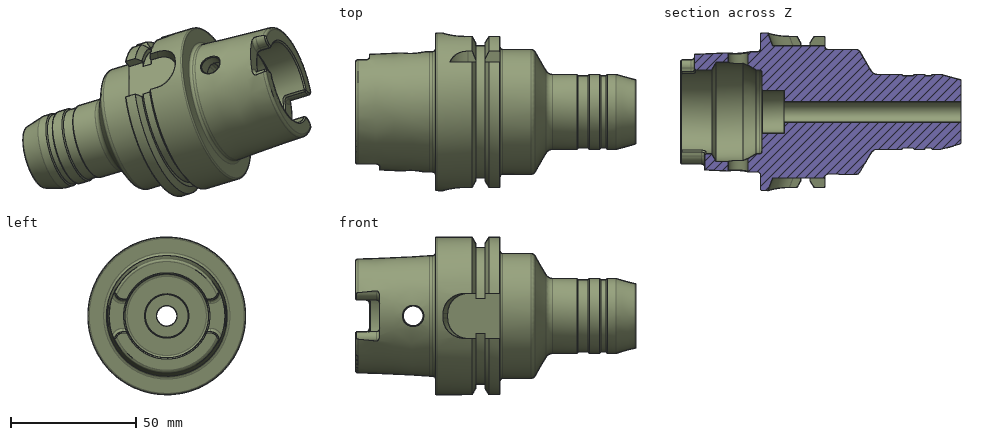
import cadquery as cq
import math


total_length = 112.0
through_hole_radius = 4.0

shank_front_radius = 22.7
shank_back_radius = 24.1
shank_rim_fillet = 1.1
taper_end = 29.7
shank_root_fillet = 1.1

flange_start = 31.9
flange_end = 57.8
flange_radius = 31.5
flange_front_fillet = 0.6
flange_back_chamfer = 0.3
groove_start = 48.0
groove_end = 51.6
groove_floor_radius = 27.3
groove_mouth_radius = 28.9
groove_front_bevel = 1.5
groove_back_bevel = 1.7

body_radius = 25.0
body_end = 71.1
body_root_fillet = 0.9
shoulder_angle = 60.0
shoulder_outer_fillet = 2.0
shoulder_inner_fillet = 2.9

nose_radius = 15.0
nose_groove_spans = [(88.8, 92.8), (97.9, 100.0)]
nose_groove_depth = 0.6
nose_groove_chamfer = 0.5
tip_taper_start = 103.9
tip_radius = 12.8
tip_fillet = 0.7

bore_radius = 16.7
bore_rim_chamfer = 0.6
undercut_start = 12.5
undercut_depth = 3.0
undercut_front_angle = 60.0
undercut_end = 25.0
undercut_back_angle = 30.0
bore_floor = 32.5
bore_floor_fillet = 0.9
counterbore_radius = 8.5
counterbore_depth = 9.0
counterbore_chamfer = 0.3

drive_slot_half_width = 6.3
drive_slot_depths = {-1: 9.7, 1: 5.6}
drive_slot_flare_radius = 3.4
drive_slot_flare_height = 20.8
drive_slot_end_fillet = 1.3
drive_slot_mouth_chamfer = 0.6

wall_hole_radius = 3.9
wall_hole_position = 23.1
wall_hole_chamfer = 0.3

key_slot_half_width = 9.0
key_slot_corner_radius = 8.1
key_slot_floor = 26.4
key_slot_floor_start = 36.8
key_slot_rim_start = 35.0

notch_floor = 19.9
notch_wall = 20.0
notch_radius = 8.3
notch_arc_end = 45.0


def edges_at(solid, x, radius):
    """Circular edges centred on the X axis at station x with the given radius."""
    tolerance = 0.01
    found = [
        edge
        for edge in solid.edges("%CIRCLE").vals()
        if abs(edge.Center().x - x) < tolerance and abs(edge.radius() - radius) < tolerance
    ]
    return solid.newObject(found)


def turned_body():
    shoulder_run = (body_radius - nose_radius) / math.tan(math.radians(shoulder_angle))
    profile = [
        (0, 0),
        (0, shank_front_radius),
        (taper_end, shank_back_radius),
        (flange_start, shank_back_radius),
        (flange_start, flange_radius),
        (groove_start - groove_front_bevel, flange_radius),
        (groove_start, groove_mouth_radius),
        (groove_start, groove_floor_radius),
        (groove_end, groove_floor_radius),
        (groove_end, groove_mouth_radius),
        (groove_end + groove_back_bevel, flange_radius),
        (flange_end, flange_radius),
        (flange_end, body_radius),
        (body_end, body_radius),
        (body_end + shoulder_run, nose_radius),
    ]
    for start, end in nose_groove_spans:
        profile += [
            (start - nose_groove_chamfer, nose_radius),
            (start, nose_radius - nose_groove_depth),
            (end, nose_radius - nose_groove_depth),
            (end + nose_groove_chamfer, nose_radius),
        ]
    profile += [
        (tip_taper_start, nose_radius),
        (total_length, tip_radius),
        (total_length, 0),
    ]
    body = cq.Workplane("XY").polyline(profile).close().revolve(360, (0, 0, 0), (1, 0, 0))

    fillets = [
        (0, shank_front_radius, shank_rim_fillet),
        (flange_start, shank_back_radius, shank_root_fillet),
        (flange_start, flange_radius, flange_front_fillet),
        (flange_end, body_radius, body_root_fillet),
        (body_end, body_radius, shoulder_outer_fillet),
        (body_end + shoulder_run, nose_radius, shoulder_inner_fillet),
        (total_length, tip_radius, tip_fillet),
    ]
    for x, radius, fillet in fillets:
        body = edges_at(body, x, radius).fillet(fillet)
    return edges_at(body, flange_end, flange_radius).chamfer(flange_back_chamfer)


def bore_cutter():
    undercut_radius = bore_radius + undercut_depth
    front_run = undercut_depth / math.tan(math.radians(undercut_front_angle))
    back_run = undercut_depth / math.tan(math.radians(undercut_back_angle))
    counterbore_floor = bore_floor + counterbore_depth
    profile = [
        (0, 0),
        (0, bore_radius),
        (undercut_start, bore_radius),
        (undercut_start + front_run, undercut_radius),
        (undercut_end, undercut_radius),
        (undercut_end + back_run, bore_radius),
        (bore_floor, bore_radius),
        (bore_floor, counterbore_radius + counterbore_chamfer),
        (bore_floor + counterbore_chamfer, counterbore_radius),
        (counterbore_floor, counterbore_radius),
        (counterbore_floor, through_hole_radius),
        (total_length, through_hole_radius),
        (total_length, 0),
    ]
    cutter = cq.Workplane("XY").polyline(profile).close().revolve(360, (0, 0, 0), (1, 0, 0))
    return edges_at(cutter, bore_floor, bore_radius).fillet(bore_floor_fillet)


def drive_slot_outline(x, growth):
    """Cross-section of a +Y drive slot at station x, with its boundary moved outward by growth.

    The side walls flare outward in quarter rounds to a shoulder that lies below the shank surface.
    """
    reach = flange_radius
    half_width = drive_slot_half_width + growth
    flare_radius = drive_slot_flare_radius - growth
    flare_height = drive_slot_flare_height - growth
    flare_start = flare_height - flare_radius
    flare_half_width = half_width + flare_radius
    bend = flare_radius * math.sqrt(0.5)
    bend_y = flare_start + bend
    bend_z = flare_half_width - bend
    return (
        cq.Workplane("YZ", origin=(x, 0, 0))
        .moveTo(0, -half_width)
        .lineTo(flare_start, -half_width)
        .threePointArc((bend_y, -bend_z), (flare_height, -flare_half_width))
        .lineTo(flare_height, -reach)
        .lineTo(reach, -reach)
        .lineTo(reach, reach)
        .lineTo(flare_height, reach)
        .lineTo(flare_height, flare_half_width)
        .threePointArc((bend_y, bend_z), (flare_start, half_width))
        .lineTo(0, half_width)
        .close()
    )


def drive_slot_cutter(side):
    """Drive slot along X with a filleted end and a chamfered mouth."""
    reach = flange_radius
    cutter = drive_slot_outline(0, 0).extrude(drive_slot_depths[side])
    flare_edges = cq.selectors.BoxSelector(
        (drive_slot_depths[side] - 0.1, 0.1, -reach + 0.1),
        (drive_slot_depths[side] + 0.1, reach - 0.1, reach - 0.1),
    )
    cutter = cutter.edges(flare_edges).fillet(drive_slot_end_fillet)
    mouth = cq.Solid.makeLoft(
        [
            drive_slot_outline(0, drive_slot_mouth_chamfer).val(),
            drive_slot_outline(drive_slot_mouth_chamfer, 0).val(),
        ],
        True,
    )
    cutter = cutter.union(cq.Workplane(mouth))
    return cutter if side > 0 else cutter.mirror("XZ")


def drill_wall_holes(holder):
    """Cross hole through both sides of the shank, chamfered where it leaves the taper."""
    drill = (
        cq.Workplane("XZ", origin=(wall_hole_position, 0, 0))
        .circle(wall_hole_radius)
        .extrude(flange_radius, both=True)
    )
    holder = holder.cut(drill)
    reach = wall_hole_radius + 0.1
    for side in (-1, 1):
        mouth = cq.selectors.BoxSelector(
            (wall_hole_position - reach, side * shank_front_radius, -reach),
            (wall_hole_position + reach, side * shank_back_radius, reach),
        )
        holder = holder.edges(mouth).chamfer(wall_hole_chamfer)
    return holder


def key_slot_outline(start):
    """Slot outline with a rounded front end, running from start to well past the flange."""
    end = flange_end + 2 * key_slot_corner_radius
    return (
        cq.Sketch()
        .push([((start + end) / 2, 0)])
        .rect(end - start, 2 * key_slot_half_width)
        .reset()
        .vertices("<X")
        .fillet(key_slot_corner_radius)
    )


def key_slot_cutter(side):
    """Key slot whose rounded front end leans forward from the floor to the flange rim."""
    floor_outline = key_slot_outline(key_slot_floor_start)
    rim_outline = key_slot_outline(key_slot_rim_start)
    height = flange_radius - key_slot_floor
    cutter = (
        cq.Workplane("XZ", origin=(0, -key_slot_floor, 0))
        .placeSketch(floor_outline, rim_outline.moved(cq.Location(cq.Vector(0, 0, height))))
        .loft()
    )
    return cutter.mirror("XZ") if side > 0 else cutter


def notch_cutter():
    """Notch with a floor facing +Y and a wall facing +Z that curves up at its front end."""
    arc_start = notch_arc_end - notch_radius
    bend = notch_radius * math.sqrt(0.5)
    arc_centre_z = notch_wall + notch_radius
    return (
        cq.Workplane("XZ", origin=(0, notch_floor, 0))
        .moveTo(flange_end, notch_wall)
        .lineTo(notch_arc_end, notch_wall)
        .threePointArc((notch_arc_end - bend, arc_centre_z - bend), (arc_start, arc_centre_z))
        .lineTo(arc_start, flange_radius)
        .lineTo(flange_end, flange_radius)
        .close()
        .extrude(-flange_radius)
    )


def chamfer_bore_rim(holder):
    """Break the edge where the bore meets the shank rim and the drive slots."""
    outside = bore_radius + 0.1
    inside = bore_radius - 0.1
    bore_wall = cq.selectors.BoxSelector(
        (-0.1, -outside, -outside), (undercut_start + 0.1, outside, outside), boundingbox=True
    )
    rim = cq.selectors.BoxSelector((-0.1, -inside, -inside), (undercut_start - 0.1, inside, inside))
    return holder.faces(bore_wall).edges(rim).chamfer(bore_rim_chamfer)


result = turned_body().cut(bore_cutter())
for side in (-1, 1):
    result = result.cut(drive_slot_cutter(side))
result = chamfer_bore_rim(result)
result = drill_wall_holes(result)
for side in (-1, 1):
    result = result.cut(key_slot_cutter(side))
result = result.cut(notch_cutter())